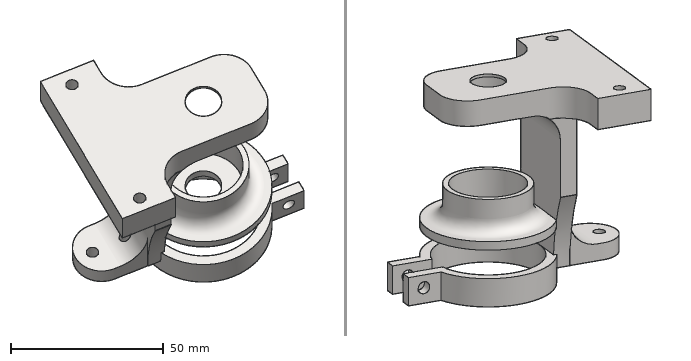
import cadquery as cq
import math

BRACKET_TURN = -12.84

RING_RADIUS = 22.55
RING_BORE_RADIUS = 19.0
RING_HEIGHT = 10.0
ARM_GAP = 8.0
ARM_THICKNESS = 4.0
ARM_END = 32.95
ARM_HOLE_DIAMETER = 4.2
ARM_HOLE_Y = 27.3
ARM_HOLE_Z = 5.5

CUP_BASE_Z = 20.0
FLANGE_THICKNESS = 3.0
CUP_HEIGHT = 15.0
CUP_RADIUS = 15.0
CUP_FILLET = 5.0

SEAT_RADIUS = 13.0
PASSAGE_DIAMETER = 12.0
PLATE_SEAT_ROOF = 1.0

PLATE_TOP_Z = 71.08
PLATE_THICKNESS = 11.0
NECK_THICKNESS = 9.0
BAR_WIDTH = 61.5
BAR_DEPTH = 19.5
BAR_OFFSET_X = 0.1
BAR_FRONT_Y = -44.7
NECK_HALF_WIDTH = 15.0
NECK_END_Y = 20.0
PLATE_RADIUS = 10.0
SCREW_HOLE_DIAMETER = 4.0
PLATE_HOLE_SPACING = 50.8
HOLE_PATTERN_X = 0.5
PLATE_HOLE_Y = -35.9

COLUMN_BACK_Y = -19.1
COLUMN_THICKNESS = 6.0
COLUMN_BASE_Z = 5.1
TAPER_TOP_Z = 32.0
TAPER_TOP_HALF_WIDTH = 15.2
TAPER_BASE_HALF_WIDTH = 9.7
COLUMN_FILLET = 10.0

FOOT_RADIUS = 9.6
FOOT_THICKNESS = 6.0
FOOT_END_Y = -37.2
FOOT_FILLET = 10.0
FOOT_OUTER_HOLE_Y = -40.8
FOOT_HOLE_SPACING = 12.0

MARGIN = 1.0

bar_back_y = BAR_FRONT_Y + BAR_DEPTH
plate_bottom_z = PLATE_TOP_Z - PLATE_THICKNESS
neck_bottom_z = PLATE_TOP_Z - NECK_THICKNESS
column_front_y = COLUMN_BACK_Y - COLUMN_THICKNESS
foot_top_z = COLUMN_BASE_Z + FOOT_THICKNESS


def box(x_range, y_range, z_range):
    """Box spanning the given (low, high) ranges."""
    size = [high - low for low, high in (x_range, y_range, z_range)]
    corner = (x_range[0], y_range[0], z_range[0])
    return cq.Workplane("XY").box(*size, centered=False).translate(corner)


def cylinder(radius, bottom_z, top_z, x=0.0, y=0.0):
    """Upright cylinder between two heights."""
    return cq.Workplane("XY", origin=(x, y, bottom_z)).circle(radius).extrude(top_z - bottom_z)


def make_plate():
    """T-shaped plate: wide bar at the front, round-cornered neck at the back."""
    bar_left = BAR_OFFSET_X - BAR_WIDTH / 2
    bar_right = BAR_OFFSET_X + BAR_WIDTH / 2
    bar = box((bar_left, bar_right), (BAR_FRONT_Y, bar_back_y), (plate_bottom_z, PLATE_TOP_Z))
    neck = box(
        (-NECK_HALF_WIDTH, NECK_HALF_WIDTH),
        (BAR_FRONT_Y, NECK_END_Y),
        (plate_bottom_z, PLATE_TOP_Z),
    )
    neck = neck.edges("|Z and >Y").fillet(PLATE_RADIUS)
    plate = bar.union(neck)
    inner_corners = cq.selectors.BoxSelector(
        (-NECK_HALF_WIDTH - MARGIN, bar_back_y - MARGIN, plate_bottom_z),
        (NECK_HALF_WIDTH + MARGIN, bar_back_y + MARGIN, PLATE_TOP_Z),
    )
    return plate.edges("|Z").edges(inner_corners).fillet(PLATE_RADIUS)


def make_column():
    """Upright column, straight above and narrowing along arcs below."""
    taper_height = TAPER_TOP_Z - COLUMN_BASE_Z
    taper_step = TAPER_TOP_HALF_WIDTH - TAPER_BASE_HALF_WIDTH
    arc_radius = (taper_height**2 + taper_step**2) / (2 * taper_step)
    half_angle = math.atan2(taper_step, taper_height)
    middle_x = TAPER_BASE_HALF_WIDTH + arc_radius * (1 - math.cos(half_angle))
    middle_z = COLUMN_BASE_Z + arc_radius * math.sin(half_angle)
    taper = (
        cq.Workplane("XZ", origin=(0, COLUMN_BACK_Y, 0))
        .moveTo(-TAPER_BASE_HALF_WIDTH, COLUMN_BASE_Z)
        .lineTo(TAPER_BASE_HALF_WIDTH, COLUMN_BASE_Z)
        .threePointArc((middle_x, middle_z), (TAPER_TOP_HALF_WIDTH, TAPER_TOP_Z))
        .lineTo(-TAPER_TOP_HALF_WIDTH, TAPER_TOP_Z)
        .threePointArc((-middle_x, middle_z), (-TAPER_BASE_HALF_WIDTH, COLUMN_BASE_Z))
        .close()
        .extrude(COLUMN_THICKNESS)
    )
    shaft = box(
        (-NECK_HALF_WIDTH, NECK_HALF_WIDTH),
        (column_front_y, COLUMN_BACK_Y),
        (TAPER_TOP_Z, PLATE_TOP_Z),
    )
    fillet_stock = box(
        (-NECK_HALF_WIDTH, NECK_HALF_WIDTH),
        (COLUMN_BACK_Y, COLUMN_BACK_Y + COLUMN_FILLET),
        (neck_bottom_z - COLUMN_FILLET, neck_bottom_z),
    )
    return taper.union(shaft).union(fillet_stock)


def make_neck_relief():
    """Space under the neck, rounded where the neck meets the back of the column."""
    relief = box(
        (-BAR_WIDTH, BAR_WIDTH),
        (COLUMN_BACK_Y, NECK_END_Y + MARGIN),
        (plate_bottom_z - 2 * COLUMN_FILLET, neck_bottom_z),
    )
    return relief.edges("|X and <Y and >Z").fillet(COLUMN_FILLET)


def make_foot():
    """Round-ended lug with a concave fillet up the front of the column."""
    root = (COLUMN_BASE_Z, foot_top_z)
    lug = box((-FOOT_RADIUS, FOOT_RADIUS), (FOOT_END_Y, column_front_y), root)
    lug = lug.union(cylinder(FOOT_RADIUS, COLUMN_BASE_Z, foot_top_z, y=FOOT_END_Y))
    bend = FOOT_FILLET * (1 - math.sqrt(0.5))
    web = (
        cq.Workplane("YZ", origin=(-FOOT_RADIUS, 0, 0))
        .moveTo(column_front_y, foot_top_z)
        .lineTo(column_front_y, foot_top_z + FOOT_FILLET)
        .threePointArc(
            (column_front_y - bend, foot_top_z + bend),
            (column_front_y - FOOT_FILLET, foot_top_z),
        )
        .close()
        .extrude(2 * FOOT_RADIUS)
    )
    foot = lug.union(web)
    for hole_y in (FOOT_OUTER_HOLE_Y, FOOT_OUTER_HOLE_Y + FOOT_HOLE_SPACING):
        hole = cylinder(SCREW_HOLE_DIAMETER / 2, COLUMN_BASE_Z, PLATE_TOP_Z, HOLE_PATTERN_X, hole_y)
        foot = foot.cut(hole)
    return foot


def make_arms():
    """Pair of clamp arms with a shared cross hole."""
    outer = ARM_GAP / 2 + ARM_THICKNESS
    arms = box((-outer, outer), (0, ARM_END), (0, RING_HEIGHT))
    hole = (
        cq.Workplane("YZ", origin=(-outer, 0, 0))
        .center(ARM_HOLE_Y, ARM_HOLE_Z)
        .circle(ARM_HOLE_DIAMETER / 2)
        .extrude(2 * outer)
    )
    return arms.cut(hole)


def make_arm_slot():
    """Gap between the arms, splitting the ring wall."""
    return box((-ARM_GAP / 2, ARM_GAP / 2), (0, ARM_END), (0, RING_HEIGHT))


def make_cup():
    """Flange and hub of the cup, joined by a concave fillet."""
    flange_top_z = CUP_BASE_Z + FLANGE_THICKNESS
    bend = CUP_FILLET * (1 - math.sqrt(0.5))
    return (
        cq.Workplane("XZ")
        .moveTo(0, CUP_BASE_Z)
        .lineTo(RING_RADIUS, CUP_BASE_Z)
        .lineTo(RING_RADIUS, flange_top_z)
        .lineTo(CUP_RADIUS + CUP_FILLET, flange_top_z)
        .threePointArc(
            (CUP_RADIUS + bend, flange_top_z + bend),
            (CUP_RADIUS, flange_top_z + CUP_FILLET),
        )
        .lineTo(CUP_RADIUS, CUP_BASE_Z + CUP_HEIGHT)
        .lineTo(0, CUP_BASE_Z + CUP_HEIGHT)
        .close()
        .revolve(360, (0, 0, 0), (0, 1, 0))
    )


def turned(shape):
    """Turn a bracket shape into its final heading."""
    return shape.rotate((0, 0, 0), (0, 0, 1), BRACKET_TURN)


bracket = make_plate().union(make_column()).cut(make_neck_relief()).union(make_foot())
for side in (-1, 1):
    hole_x = HOLE_PATTERN_X + side * PLATE_HOLE_SPACING / 2
    bracket = bracket.cut(
        cylinder(SCREW_HOLE_DIAMETER / 2, plate_bottom_z, PLATE_TOP_Z, hole_x, PLATE_HOLE_Y)
    )

cup_seat = cylinder(SEAT_RADIUS, CUP_BASE_Z + FLANGE_THICKNESS, CUP_BASE_Z + CUP_HEIGHT)
plate_seat = cylinder(SEAT_RADIUS, neck_bottom_z, PLATE_TOP_Z - PLATE_SEAT_ROOF)
passage = cylinder(PASSAGE_DIAMETER / 2, 0, PLATE_TOP_Z)
ring_bore = cylinder(RING_BORE_RADIUS, 0, RING_HEIGHT)
ring = cylinder(RING_RADIUS, 0, RING_HEIGHT).cut(ring_bore)
arms = turned(make_arms()).cut(ring_bore)

result = turned(bracket).union(ring).union(make_cup())
result = result.union(arms).cut(turned(make_arm_slot()))
result = result.cut(cup_seat).cut(plate_seat).cut(passage)